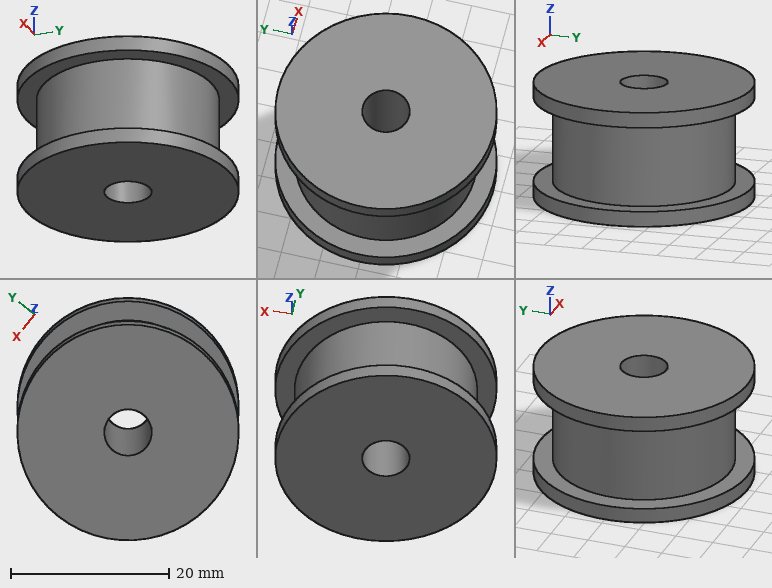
import cadquery as cq

flange_diameter = 28.0
hub_diameter = 23.1
bore_diameter = 6.0
total_height = 15.0
flange_thickness = 2.0
hub_height = total_height - 2 * flange_thickness


def disc(diameter, height, base_z):
    """Solid disc on the Z axis, rising from base_z."""
    return cq.Workplane("XY").workplane(offset=base_z).circle(diameter / 2).extrude(height)


lower_flange = disc(flange_diameter, flange_thickness, 0)
hub = disc(hub_diameter, hub_height, flange_thickness)
upper_flange = disc(flange_diameter, flange_thickness, flange_thickness + hub_height)
bore = disc(bore_diameter, total_height, 0)

result = lower_flange.union(hub).union(upper_flange).cut(bore)